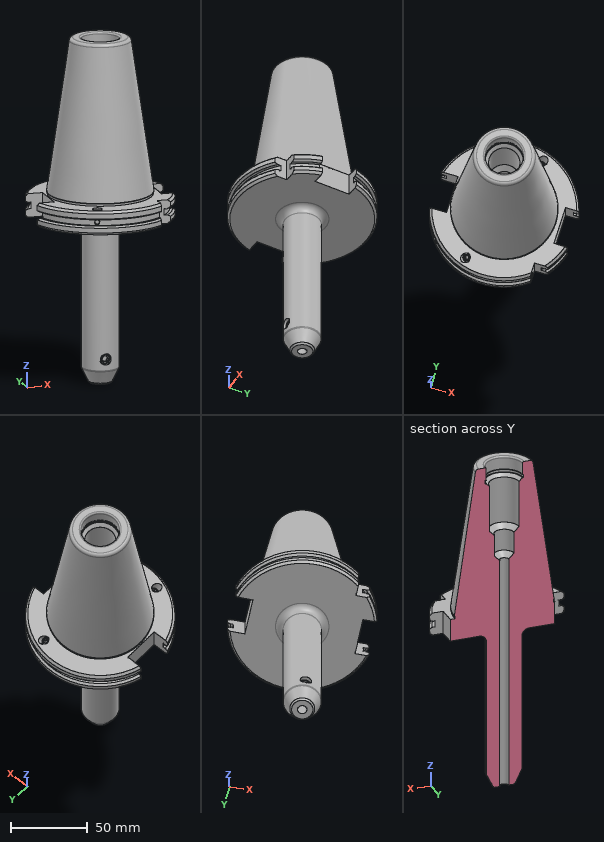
import cadquery as cq
import math

OVERALL_LENGTH = 231.8
TAPER_TOP = 101.7
GAUGE_RADIUS = 69.8 / 2
TAPER_SLOPE = 7 / 48
TAPER_TOP_ROUND = 2.3
TAPER_END = -1.5
RELIEF_CHAMFER = 0.5
STEM_END = TAPER_TOP - OVERALL_LENGTH

FLANGE_RADIUS = 97.5 / 2
FLANGE_TOP = -3.2
FLANGE_BOTTOM = -19.2
FLANGE_CHAMFER = 1.6

GROOVE_CENTRE = -11.4
GROOVE_FLOOR_RADIUS = 45.2
GROOVE_WALL_RADIUS = 47.0
GROOVE_HALF_WIDTH = 2.0
GROOVE_FLANK_ANGLE = 30

STEM_RADIUS = 12.5
STEM_FILLET = 4.9
NOSE_START = -119.8
NOSE_BLEND = 1.6
NOSE_RADIUS = 8.0
NOSE_CHAMFER = 1.2

COUNTERBORE_RADIUS = 12.5
COUNTERBORE_DEPTH = 11.5
BORE_LIP_ROUND = 1.2
UNDERCUT_RADIUS = 13.2
UNDERCUT_START = 9.5
THREAD_RADIUS = 10.2
THREAD_DEPTH = 46.4
FEED_RADIUS = 6.7
FEED_DEPTH = 65.0
COOLANT_RADIUS = 3.0

SLOT_WIDTH = 25.7
LEFT_SLOT_FLOOR = 35.5
RIGHT_SLOT_FLOOR = 37.8
NOTCH_OFFSET = 29.7

STEM_SCREW_RADIUS = 3.7
STEM_SCREW_RECESS = 1.9
STEM_SOCKET_FLATS = 3.7
FLANGE_SCREW_RADIUS = 3.0
FLANGE_SCREW_RECESS = 2.8
FLANGE_SOCKET_FLATS = 2.5
SCREW_EDGE_CHAMFER = 1.0
SOCKET_DEPTH = 2.0
STEM_SCREW_Z = -112.0
FLANGE_SCREW_CIRCLE = 42.0
FLANGE_SCREW_ANGLE = 70
FLANGE_SCREW_TILT = 30
CROSS_HOLE_RADIUS = 1.6
CROSS_HOLE_DEPTH = 2.3


def turned_body():
    """Taper, grooved flange and stem as one revolved outline."""
    taper_top_radius = GAUGE_RADIUS - TAPER_TOP * TAPER_SLOPE
    taper_end_radius = GAUGE_RADIUS - TAPER_END * TAPER_SLOPE
    relief_radius = taper_end_radius - RELIEF_CHAMFER
    flank_depth = FLANGE_RADIUS - GROOVE_WALL_RADIUS
    groove_half_mouth = GROOVE_HALF_WIDTH + flank_depth * math.tan(math.radians(GROOVE_FLANK_ANGLE))
    fillet_offset = STEM_FILLET * (1 - math.sqrt(0.5))
    outline = (
        cq.Workplane("XZ")
        .moveTo(0, TAPER_TOP)
        .lineTo(taper_top_radius, TAPER_TOP)
        .lineTo(taper_end_radius, TAPER_END)
        .lineTo(relief_radius, TAPER_END - RELIEF_CHAMFER)
        .lineTo(relief_radius, FLANGE_TOP)
        .lineTo(FLANGE_RADIUS - FLANGE_CHAMFER, FLANGE_TOP)
        .lineTo(FLANGE_RADIUS, FLANGE_TOP - FLANGE_CHAMFER)
        .lineTo(FLANGE_RADIUS, GROOVE_CENTRE + groove_half_mouth)
        .lineTo(GROOVE_WALL_RADIUS, GROOVE_CENTRE + GROOVE_HALF_WIDTH)
        .lineTo(GROOVE_FLOOR_RADIUS, GROOVE_CENTRE + GROOVE_HALF_WIDTH)
        .lineTo(GROOVE_FLOOR_RADIUS, GROOVE_CENTRE - GROOVE_HALF_WIDTH)
        .lineTo(GROOVE_WALL_RADIUS, GROOVE_CENTRE - GROOVE_HALF_WIDTH)
        .lineTo(FLANGE_RADIUS, GROOVE_CENTRE - groove_half_mouth)
        .lineTo(FLANGE_RADIUS, FLANGE_BOTTOM + FLANGE_CHAMFER)
        .lineTo(FLANGE_RADIUS - FLANGE_CHAMFER, FLANGE_BOTTOM)
        .lineTo(STEM_RADIUS + STEM_FILLET, FLANGE_BOTTOM)
        .threePointArc(
            (STEM_RADIUS + fillet_offset, FLANGE_BOTTOM - fillet_offset),
            (STEM_RADIUS, FLANGE_BOTTOM - STEM_FILLET),
        )
        .lineTo(STEM_RADIUS, NOSE_START)
        .lineTo(NOSE_RADIUS, STEM_END + NOSE_CHAMFER)
        .lineTo(NOSE_RADIUS - NOSE_CHAMFER, STEM_END)
        .lineTo(0, STEM_END)
        .close()
    )
    body = outline.revolve(360, (0, 0, 0), (0, 1, 0))
    body = body.faces(">Z").edges().fillet(TAPER_TOP_ROUND)
    nose_shoulder = cq.selectors.NearestToPointSelector((STEM_RADIUS, 0, NOSE_START))
    return body.edges("%CIRCLE").edges(nose_shoulder).fillet(NOSE_BLEND)


def stepped_bore():
    """Bore from the taper top, with 45 degree steps down to a coolant hole through the nose."""
    depth_radius = [
        (0, 0),
        (0, COUNTERBORE_RADIUS),
        (UNDERCUT_START, COUNTERBORE_RADIUS),
        (UNDERCUT_START, UNDERCUT_RADIUS),
        (COUNTERBORE_DEPTH, UNDERCUT_RADIUS),
        (COUNTERBORE_DEPTH, COUNTERBORE_RADIUS),
        (COUNTERBORE_DEPTH + COUNTERBORE_RADIUS - THREAD_RADIUS, THREAD_RADIUS),
        (THREAD_DEPTH, THREAD_RADIUS),
        (THREAD_DEPTH + THREAD_RADIUS - FEED_RADIUS, FEED_RADIUS),
        (FEED_DEPTH, FEED_RADIUS),
        (FEED_DEPTH + FEED_RADIUS - COOLANT_RADIUS, COOLANT_RADIUS),
        (OVERALL_LENGTH, COOLANT_RADIUS),
        (OVERALL_LENGTH, 0),
    ]
    points = [(radius, TAPER_TOP - depth) for depth, radius in depth_radius]
    return cq.Workplane("XZ").polyline(points).close().revolve(360, (0, 0, 0), (0, 1, 0))


def flange_cut(x_min, x_max, y_min, y_max):
    """Rectangular cutter through the full flange thickness."""
    return (
        cq.Workplane("XY", origin=(0, 0, FLANGE_BOTTOM))
        .moveTo(x_min, y_min)
        .lineTo(x_max, y_min)
        .lineTo(x_max, y_max)
        .lineTo(x_min, y_max)
        .close()
        .extrude(FLANGE_TOP - FLANGE_BOTTOM)
    )


def screw_recess(mouth, outward, radius, recess, flats):
    """Recess above a set screw whose end face is chamfered and has a hex socket."""
    hole = cq.Workplane("XY").circle(radius).extrude(2 * radius + recess + SCREW_EDGE_CHAMFER)
    screw_end = (
        cq.Workplane("XY")
        .circle(radius)
        .workplane(offset=SCREW_EDGE_CHAMFER)
        .circle(radius - SCREW_EDGE_CHAMFER)
        .loft()
    )
    socket = (
        cq.Workplane("XY", origin=(0, 0, SCREW_EDGE_CHAMFER))
        .polygon(6, flats, circumscribed=True)
        .extrude(-SOCKET_DEPTH)
    )
    cutter = hole.cut(screw_end).union(socket)
    cutter = cutter.translate((0, 0, -recess - SCREW_EDGE_CHAMFER))
    mouth_plane = cq.Plane(origin=mouth, normal=outward)
    return cutter.val().moved(cq.Location(mouth_plane))


def radial_point(radius, angle, z):
    """Cartesian vector from cylindrical coordinates, angle in degrees."""
    turn = math.radians(angle)
    return cq.Vector(radius * math.cos(turn), radius * math.sin(turn), z)


result = turned_body().cut(stepped_bore())
bore_lip = cq.selectors.RadiusNthSelector(0)
result = result.faces(">Z").edges(bore_lip).fillet(BORE_LIP_ROUND)

half_slot = SLOT_WIDTH / 2
result = result.cut(flange_cut(-FLANGE_RADIUS, -LEFT_SLOT_FLOOR, -half_slot, half_slot))
result = result.cut(flange_cut(RIGHT_SLOT_FLOOR, FLANGE_RADIUS, -half_slot, half_slot))
result = result.cut(flange_cut(NOTCH_OFFSET, FLANGE_RADIUS, -FLANGE_RADIUS, -NOTCH_OFFSET))

stem_mouth = (0, -STEM_RADIUS, STEM_SCREW_Z)
result = result.cut(
    screw_recess(stem_mouth, (0, -1, 0), STEM_SCREW_RADIUS, STEM_SCREW_RECESS, STEM_SOCKET_FLATS)
)

tilt = math.radians(FLANGE_SCREW_TILT)
for angle in (FLANGE_SCREW_ANGLE, FLANGE_SCREW_ANGLE + 180):
    lean = radial_point(math.sin(tilt), angle, math.cos(tilt))
    mouth = radial_point(FLANGE_SCREW_CIRCLE, angle, FLANGE_TOP)
    result = result.cut(
        screw_recess(mouth, lean, FLANGE_SCREW_RADIUS, FLANGE_SCREW_RECESS, FLANGE_SOCKET_FLATS)
    )
    drill_plane = cq.Plane(
        origin=radial_point(GROOVE_FLOOR_RADIUS - CROSS_HOLE_DEPTH, angle, GROOVE_CENTRE),
        normal=radial_point(1, angle, 0),
    )
    cross_hole = cq.Workplane(drill_plane).circle(CROSS_HOLE_RADIUS).extrude(2 * CROSS_HOLE_DEPTH)
    result = result.cut(cross_hole)